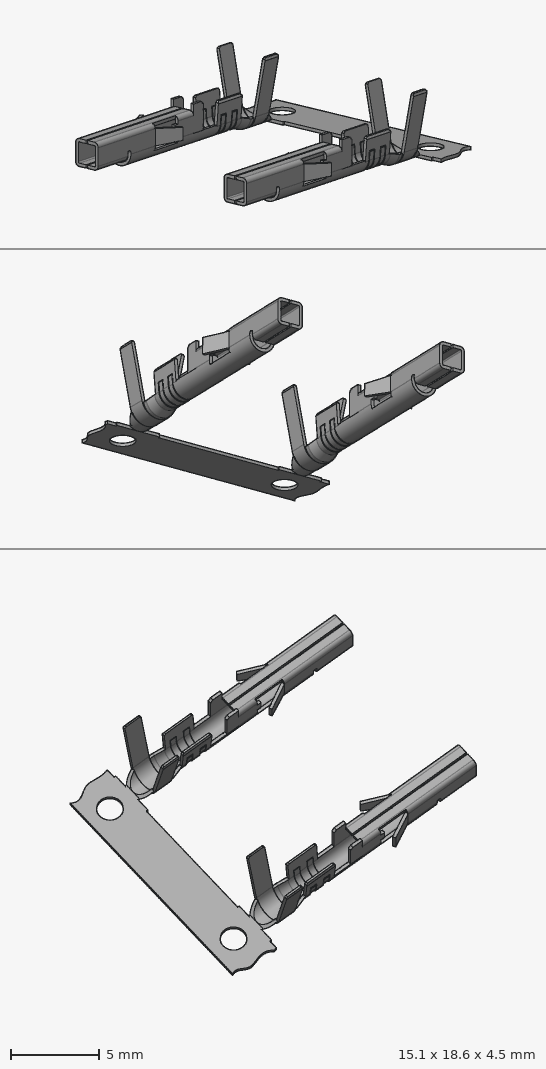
import cadquery as cq
import math


sheet = 0.2
total_length = 18.6
pitch = 11.0
overlap = 0.02

strip_width = 15.08
strip_front = 15.6
hole_diameter = 1.5
hole_y = 17.1
step_half_width = 1.43
step_front = 15.5

half_width = 0.84
box_bottom = 0.69
box_top = 2.35
box_corner = 0.28
box_rear = 8.37
seam_gap = 0.11
relief_front = 2.6
relief_rear = 2.86
relief_top = 1.26

stop_rear = 9.2
stop_top = 2.75
stop_chamfer = 0.17

window_front = 5.0
window_rear = 7.0
window_bottom = 0.76
window_inner = 0.37
tooth_bottom = 1.32
tooth_top = 1.88
tooth_length = 0.28
lance_tip_y = 6.53
lance_bottom = 1.05
lance_top = 2.06
lance_angle = 26.5
lance_root = 0.1
lance_tip_inset = 0.13

trough_bottom = 0.2
trough_top = trough_bottom + half_width

wire_front = 10.4
wire_rear = 12.5
wire_wing_top = 2.47
wire_wing_angle = 4.6
groove_starts = (10.75, 11.72)
groove_width = 0.43
groove_depth = 0.05
groove_top = 1.58

insulation_front = 13.48
insulation_rear = 14.68
insulation_wing_top = 4.5
insulation_wing_angle = 11.5
insulation_radius = 1.12
channel_radius = 1.0
bend_front = 12.57
bend_rear = 13.2
channel_rear = 15.51
slant_end = 15.4
wing_bevel = 0.15
wing_corner = 0.11


def box(x_range, y_range, z_range):
    """Block given by its limits along X, Y and Z."""
    sizes = [limits[1] - limits[0] for limits in (x_range, y_range, z_range)]
    corner = (x_range[0], y_range[0], z_range[0])
    return cq.Workplane("XY").box(*sizes, centered=False).translate(corner)


def cross_section(y):
    """Plane across the terminal at y, with local x = X and local y = Z."""
    return cq.Workplane("XZ", origin=(0, y, 0))


def channel_outline(y, radius, bottom, lean_angle, thickness=sheet, wing_top=None):
    """U-shaped sheet outline at y; its sides lean out and run on up to wing_top if given."""
    lean = math.radians(lean_angle)
    inner_radius = radius - thickness

    def side_point(distance_out, distance_up=0):
        """Point on the right-hand side, measured from the bend centre and along the wing."""
        x = distance_out * math.cos(lean) + distance_up * math.sin(lean)
        z = bottom + radius - distance_out * math.sin(lean) + distance_up * math.cos(lean)
        return (x, z)

    right_side = [side_point(radius)]
    if wing_top is not None:
        length = (wing_top - side_point(inner_radius)[1]) / math.cos(lean)
        bevel = min(wing_bevel, thickness)
        right_side.append(side_point(radius, length - bevel))
        right_side.append(side_point(radius - bevel / 2, length))
        right_side.append(side_point(inner_radius, length))
    right_side.append(side_point(inner_radius))
    left_side = [(-x, z) for x, z in reversed(right_side)]

    outline = cross_section(y).moveTo(*left_side[-1]).threePointArc((0, bottom), right_side[0])
    for point in right_side[1:]:
        outline = outline.lineTo(*point)
    outline = outline.threePointArc((0, bottom + thickness), left_side[0])
    for point in left_side[1:-1]:
        outline = outline.lineTo(*point)
    return outline.close()


def wire_channel(front, rear, lean_angle=wire_wing_angle, wing_top=None):
    """Stretch of the channel that carries the stripped wire."""
    outline = channel_outline(rear, half_width, trough_bottom, lean_angle, wing_top=wing_top)
    return outline.extrude(rear - front)


def insulation_channel(front, rear, radius=channel_radius, wing_top=None):
    """Stretch of the wider channel that grips the insulation."""
    outline = channel_outline(rear, radius, 0, insulation_wing_angle, wing_top=wing_top)
    return outline.extrude(rear - front)


def wing_mask(front, rear, top):
    """Side outline of a wing pair with chamfered tip corners."""
    reach = 2 * half_width + sheet
    return box((-reach, reach), (front, rear), (0, top)).faces(">Z").edges("|X").chamfer(wing_corner)


def bend_channel():
    """Transition from the wire channel down to the insulation channel."""
    front = channel_outline(bend_front, half_width, trough_bottom, wire_wing_angle).wires().val()
    rear = channel_outline(bend_rear, channel_radius, 0, insulation_wing_angle).wires().val()
    return cq.Workplane(cq.Solid.makeLoft([front, rear], True))


def rear_channel():
    """End of the insulation channel, cut at a slant down to the strip."""
    start = insulation_rear - overlap
    rim = channel_radius * (1 - math.sin(math.radians(insulation_wing_angle)))
    slant = (
        cq.Workplane("YZ")
        .polyline([(start, 0), (channel_rear, 0), (channel_rear, sheet), (slant_end, sheet), (start, rim)])
        .close()
        .extrude(2 * half_width, both=True)
    )
    return insulation_channel(start, channel_rear).intersect(slant)


def wire_grip():
    """Wire crimp wings with two grooves pressed in from outside."""
    grip = wire_channel(wire_front, wire_rear, wing_top=wire_wing_top)
    grip = grip.intersect(wing_mask(wire_front, wire_rear, wire_wing_top))

    def skin(rear, inset):
        """Thin layer of the channel, inset from its outer face."""
        outline = channel_outline(rear, half_width - inset, trough_bottom + inset, wire_wing_angle,
                                  groove_depth, groove_top)
        return outline.extrude(groove_width)

    for start in groove_starts:
        rear = start + groove_width
        grip = grip.union(skin(rear, sheet)).cut(skin(rear, 0))
    return grip


def receptacle():
    """Square box with a seam along its roof and floor, open below behind its floor."""
    height = box_top - box_bottom
    middle = (box_top + box_bottom) / 2
    shell = (
        cross_section(box_rear).center(0, middle).rect(2 * half_width, height).extrude(box_rear)
        .edges("|Y").fillet(box_corner)
    )
    bore = (
        cross_section(box_rear).center(0, middle)
        .rect(2 * (half_width - sheet), height - 2 * sheet).extrude(box_rear)
        .edges("|Y").fillet(box_corner - sheet)
    )
    seam = box((-seam_gap / 2, seam_gap / 2), (0, box_rear), (box_bottom, box_top))
    below = box((-half_width, half_width), (relief_front, box_rear), (0, trough_top))
    body = shell.cut(bore).cut(seam).cut(below)
    return body.union(wire_channel(relief_rear, wire_front + overlap, lean_angle=0)).cut(relief_slot())


def relief_slot():
    """Round-topped slot that frees the box floor from the trough."""
    radius = (relief_rear - relief_front) / 2
    slot_top = relief_top - radius
    block = box((-half_width, half_width), (relief_front, relief_rear), (0, slot_top))
    round_end = (
        cq.Workplane("YZ").center(relief_front + radius, slot_top)
        .circle(radius).extrude(half_width, both=True)
    )
    return block.union(round_end)


def stop_wall():
    """Raised right-hand wall behind the box."""
    x_range = (half_width - sheet, half_width)
    wall = box(x_range, (box_rear - overlap, stop_rear), (trough_top - overlap, stop_top))
    return wall.edges(">Y and >Z").chamfer(stop_chamfer)


def side_window():
    """Right-hand window, open through the roof corner, with a tooth left standing at its rear edge."""
    outside = half_width + overlap
    wall_inside = half_width - sheet
    y_range = (window_front, window_rear)
    window = box((window_inner, outside), y_range, (window_bottom, box_top - sheet))
    corner = box((wall_inside, outside), y_range, (window_bottom, box_top))
    tooth_range = (window_rear - tooth_length, window_rear)
    tooth = box((window_inner, outside), tooth_range, (tooth_bottom, tooth_top))
    return window.union(corner).cut(tooth)


def lance(tip_inset):
    """Right-hand locking lance, narrowed at its tip by tip_inset above and below."""
    spread = math.radians(lance_angle)
    length = (lance_tip_y - window_front) / math.cos(spread)
    plate = (
        cq.Workplane("YZ")
        .polyline([(-lance_root, lance_bottom), (0, lance_bottom), (length, lance_bottom + tip_inset),
                   (length, lance_top - tip_inset), (0, lance_top), (-lance_root, lance_top)])
        .close()
        .extrude(-sheet)
    )
    return plate.rotate((0, 0, 0), (0, 0, 1), -lance_angle).translate((half_width, window_front, 0))


def terminal(left_tip_inset, right_tip_inset):
    """One complete terminal centred on x = 0."""
    body = receptacle()
    for side in (stop_wall(), stop_wall().mirror("YZ")):
        body = body.union(side)
    for side in (side_window(), side_window().mirror("YZ")):
        body = body.cut(side)
    body = body.union(lance(right_tip_inset)).union(lance(left_tip_inset).mirror("YZ"))
    body = body.union(wire_grip()).union(wire_channel(wire_rear - overlap, bend_front))
    body = body.union(bend_channel())
    body = body.union(insulation_channel(bend_rear, insulation_front + overlap))
    wings = insulation_channel(insulation_front, insulation_rear, insulation_radius, insulation_wing_top)
    body = body.union(wings.intersect(wing_mask(insulation_front, insulation_rear, insulation_wing_top)))
    return body.union(rear_channel())


def carrier_strip():
    """Strip with torn, wavy ends and a pilot hole behind each terminal."""
    edge = strip_width / 2
    left_corner = (-edge + 0.04, strip_front)
    left_rear = (-edge + 0.3, total_length)
    right_end = [(edge - 0.07, 16.24), (edge - 0.05, 17.19), (edge - 0.5, 18.17), (edge - 0.33, total_length)]
    left_end = [(-edge + 0.33, 18.2), (-edge + 0.05, 17.63), (-edge + 0.2, 16.78), (-edge, 15.81)]
    strip = (
        cq.Workplane("XY").moveTo(*left_corner).lineTo(edge, strip_front)
        .spline(right_end, includeCurrent=True)
        .lineTo(*left_rear)
        .spline(left_end, includeCurrent=True)
        .close().extrude(sheet)
    )
    for x in (-pitch / 2, pitch / 2):
        step = box((x - step_half_width, x + step_half_width), (step_front, strip_front), (0, sheet))
        hole = cq.Workplane("XY").center(x, hole_y).circle(hole_diameter / 2).extrude(sheet)
        strip = strip.union(step).cut(hole)
    return strip


result = (
    carrier_strip()
    .union(terminal(0, lance_tip_inset).translate((-pitch / 2, 0, 0)))
    .union(terminal(lance_tip_inset, lance_tip_inset).translate((pitch / 2, 0, 0)))
)